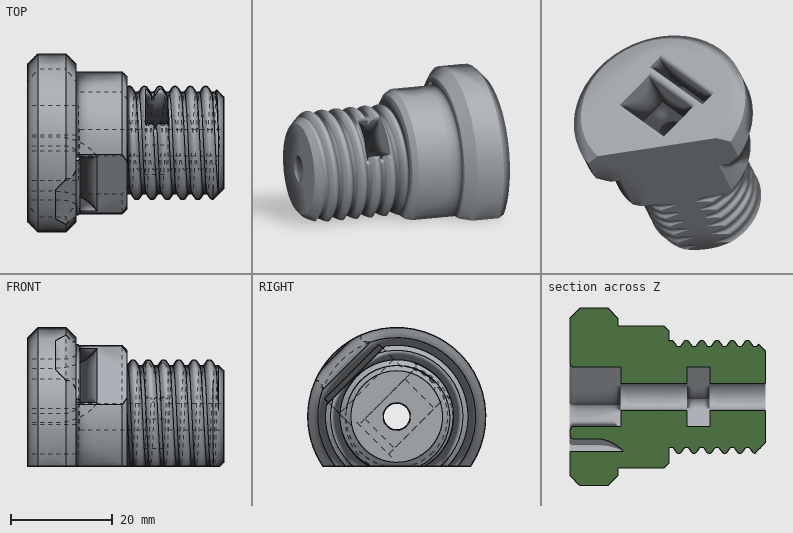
import cadquery as cq
import math

TOTAL_LENGTH = 38.5
HEAD_RADIUS = 17.5
HEAD_LENGTH = 9.5
HEAD_CHAMFER = 2.0
COLLAR_RADIUS = 14.0
COLLAR_LENGTH = 10.0
COLLAR_CHAMFER = 1.0
COLLAR_END = HEAD_LENGTH + COLLAR_LENGTH
SHANK_RADIUS = 10.0
SHANK_CHAMFER = 1.0
SHANK_START = COLLAR_END - COLLAR_CHAMFER
SHANK_SEAM_ANGLE = 37
BASE_FLAT_DEPTH = 9.78
COLLAR_FLAT_DISTANCE = 11.4

THREAD_PITCH = 3.0
THREAD_HEIGHT = 1.15
CREST_RADIUS = SHANK_RADIUS + THREAD_HEIGHT
THREAD_CREST_RADIUS = 0.65
THREAD_FLANK_ANGLE = math.radians(55)
THREAD_FLANK_OVERLAP = 0.2
THREAD_BASE_DEPTH = 1.2
THREAD_TURNS_PAST_END = 0.5
THREAD_START = 16.17

HOLE_DIAMETER = 5.2
HOLE_CHAMFER = 0.15
EDGE_RADIUS = 0.75
POCKET_WIDTH = 8.2
POCKET_LENGTH = 12.7
POCKET_DEPTH = 10.0
NUT_TRAP_START = 23.1
NUT_TRAP_THICKNESS = 4.4
NUT_TRAP_DEPTH = POCKET_WIDTH / math.sqrt(3)

CHANNEL_LENGTH = 15.1
CHANNEL_INNER_WALL = 5.85
CHANNEL_OUTER_WALL = 8.37
CHANNEL_BEND_RADIUS = 9.15
CHANNEL_BEND_START = 5.2
CORE_BEND_RADIUS = 3.3
LIP_HEIGHT = 12.5
LIP_END = HEAD_LENGTH + EDGE_RADIUS

RELIEF_START = (5.5, 17.04)
RELIEF_BEND = (7.2, 16.48)
RELIEF_MIDDLE = (8.5, 15.45)
RELIEF_END = (HEAD_LENGTH, 14.0)

CLEARANCE = 5.0

SLANTED = cq.Plane(origin=(0, 0, 0), xDir=(1, 0, 0), normal=(0, -1, -1))

TRAP_PLANE = cq.Plane(origin=(NUT_TRAP_START, 0, 0), xDir=(0, -1, 1), normal=(-1, 0, 0))


def slanted_sketch():
    """Empty sketch on the slanted plane."""
    return cq.Workplane(SLANTED)


def slanted_box(x_range, height_range, across_range):
    """Box given by ranges along the slanted plane's x, y and normal."""
    size = [high - low for low, high in (x_range, height_range, across_range)]
    return (
        slanted_sketch()
        .box(*size, centered=False)
        .translate(SLANTED.toWorldCoords((x_range[0], height_range[0], across_range[0])))
    )


def circular_arc(sketch, center, radius, start_angle, turn):
    """Continue a sketch along an arc, angles in degrees."""
    middle, end = (
        (center[0] + radius * math.cos(angle), center[1] + radius * math.sin(angle))
        for angle in (math.radians(start_angle + turn / 2), math.radians(start_angle + turn))
    )
    return sketch.threePointArc(middle, end)


def make_body():
    """Chamfered head disc and collar, with the slanted flat on the collar."""
    body = cq.Workplane("YZ").circle(HEAD_RADIUS).extrude(HEAD_LENGTH).edges().chamfer(HEAD_CHAMFER)
    collar = (
        cq.Workplane("YZ", origin=(HEAD_LENGTH, 0, 0))
        .circle(COLLAR_RADIUS)
        .extrude(COLLAR_LENGTH)
        .faces(">X")
        .chamfer(COLLAR_CHAMFER)
    )
    collar_flat = slanted_box(
        (HEAD_LENGTH, COLLAR_END),
        (COLLAR_FLAT_DISTANCE, HEAD_RADIUS),
        (-HEAD_RADIUS, HEAD_RADIUS),
    )
    return body.union(collar.cut(collar_flat))


def make_nut_trap():
    """Flat-bottomed slot across the bolt hole, open towards +Y+Z."""
    return slanted_box(
        (NUT_TRAP_START, NUT_TRAP_START + NUT_TRAP_THICKNESS),
        (-POCKET_WIDTH / 2, POCKET_WIDTH / 2),
        (-HEAD_RADIUS, NUT_TRAP_DEPTH),
    )


def make_crest_trap():
    """Nut trap as it cuts the thread, its side walls rounded off into the thread crest."""
    half = POCKET_WIDTH / 2
    rim = half + EDGE_RADIUS
    arc_distance = CREST_RADIUS - EDGE_RADIUS
    arc_height = math.sqrt(arc_distance**2 - rim**2)
    arc_turn = math.degrees(math.atan2(arc_height, rim))
    run_out = rim * CREST_RADIUS / arc_distance
    top = CREST_RADIUS + CLEARANCE
    sketch = cq.Workplane(TRAP_PLANE).moveTo(-half, -NUT_TRAP_DEPTH).lineTo(half, -NUT_TRAP_DEPTH)
    sketch = sketch.lineTo(half, arc_height)
    sketch = circular_arc(sketch, (rim, arc_height), EDGE_RADIUS, 180, arc_turn - 180)
    sketch = sketch.lineTo(run_out, top).lineTo(-run_out, top)
    sketch = sketch.lineTo(-run_out, arc_height * CREST_RADIUS / arc_distance)
    sketch = circular_arc(sketch, (-rim, arc_height), EDGE_RADIUS, 180 - arc_turn, arc_turn - 180)
    return sketch.close().extrude(-NUT_TRAP_THICKNESS)


def make_plain_shank():
    """Unthreaded shank with the rounded nut trap, running past both of its ends."""
    shank = (
        cq.Workplane("YZ", origin=(SHANK_START - CLEARANCE, 0, 0))
        .circle(SHANK_RADIUS)
        .extrude(TOTAL_LENGTH - SHANK_START + 2 * CLEARANCE)
        .rotate((0, 0, 0), (1, 0, 0), SHANK_SEAM_ANGLE)
        .cut(make_nut_trap())
    )
    mouth = cq.selectors.BoxSelector(
        (NUT_TRAP_START - EDGE_RADIUS, 0, 0),
        (NUT_TRAP_START + NUT_TRAP_THICKNESS + EDGE_RADIUS, SHANK_RADIUS, SHANK_RADIUS),
    )
    return shank.edges(mouth).fillet(EDGE_RADIUS)


def make_thread():
    """Right-hand round-crested thread, running past the end of the shank."""
    crest_half = THREAD_CREST_RADIUS * math.sin(THREAD_FLANK_ANGLE)
    shoulder = CREST_RADIUS - THREAD_CREST_RADIUS * (1 - math.cos(THREAD_FLANK_ANGLE))
    flank_foot = SHANK_RADIUS - THREAD_FLANK_OVERLAP
    foot_half = crest_half + (shoulder - flank_foot) / math.tan(THREAD_FLANK_ANGLE)
    base = SHANK_RADIUS - THREAD_BASE_DEPTH
    helix_length = TOTAL_LENGTH + THREAD_TURNS_PAST_END * THREAD_PITCH - THREAD_START
    helix = cq.Wire.makeHelix(THREAD_PITCH, helix_length, SHANK_RADIUS)
    return (
        cq.Workplane("XZ")
        .moveTo(base, -foot_half)
        .lineTo(flank_foot, -foot_half)
        .lineTo(shoulder, -crest_half)
        .threePointArc((CREST_RADIUS, 0), (shoulder, crest_half))
        .lineTo(flank_foot, foot_half)
        .lineTo(base, foot_half)
        .close()
        .sweep(cq.Workplane(obj=helix), isFrenet=True)
        .rotate((0, 0, 0), (0, 1, 0), 90)
        .translate((THREAD_START, 0, 0))
    )


def make_shank_envelope():
    """Revolved limit of the threaded shank, with the end chamfer."""
    end_radius = SHANK_RADIUS - SHANK_CHAMFER
    outside = CREST_RADIUS + THREAD_FLANK_OVERLAP
    return (
        cq.Workplane("XY")
        .moveTo(SHANK_START, 0)
        .lineTo(SHANK_START, outside)
        .lineTo(TOTAL_LENGTH - (outside - end_radius), outside)
        .lineTo(TOTAL_LENGTH, end_radius)
        .lineTo(TOTAL_LENGTH, 0)
        .close()
        .revolve(360, (0, 0, 0), (1, 0, 0))
    )


def make_threaded_shank():
    """Finished shank; faces are left unmerged because merging the long helical ones is slow."""
    limit = make_shank_envelope().cut(make_base_cut()).cut(make_bolt_hole())
    return (
        make_plain_shank()
        .union(make_thread(), clean=False)
        .intersect(limit, clean=False)
        .cut(make_crest_trap(), clean=False)
    )


def make_head_pocket():
    """Pocket whose two long mouth edges are rounded."""
    half = POCKET_WIDTH / 2
    rim = half + EDGE_RADIUS
    sketch = slanted_sketch().moveTo(0, -rim)
    sketch = circular_arc(sketch, (EDGE_RADIUS, -rim), EDGE_RADIUS, 180, -90)
    sketch = sketch.lineTo(POCKET_DEPTH, -half).lineTo(POCKET_DEPTH, half).lineTo(EDGE_RADIUS, half)
    sketch = circular_arc(sketch, (EDGE_RADIUS, rim), EDGE_RADIUS, -90, -90)
    return sketch.close().extrude(POCKET_LENGTH / 2, both=True)


def make_bolt_hole():
    """Through hole with a small lead-in chamfer at the pocket floor."""
    hole = cq.Workplane("YZ").circle(HOLE_DIAMETER / 2).extrude(TOTAL_LENGTH)
    lead_in = (
        cq.Workplane("YZ", origin=(POCKET_DEPTH, 0, 0))
        .circle(HOLE_DIAMETER / 2 + HOLE_CHAMFER)
        .extrude(HOLE_CHAMFER, taper=45)
    )
    return hole.union(lead_in)


def make_channel():
    """Channel entering at the head face and bending out through the collar flat."""
    entry_low = CHANNEL_INNER_WALL - EDGE_RADIUS
    entry_high = CHANNEL_OUTER_WALL + EDGE_RADIUS
    bend_center = (CHANNEL_BEND_START, CHANNEL_INNER_WALL + CHANNEL_BEND_RADIUS)
    bend_turn = math.degrees(math.acos((bend_center[1] - COLLAR_FLAT_DISTANCE) / CHANNEL_BEND_RADIUS))
    core_center = (LIP_END - CORE_BEND_RADIUS, CHANNEL_OUTER_WALL + CORE_BEND_RADIUS)
    sketch = slanted_sketch().moveTo(0, entry_low)
    sketch = circular_arc(sketch, (EDGE_RADIUS, entry_low), EDGE_RADIUS, 180, -90)
    sketch = sketch.lineTo(CHANNEL_BEND_START, CHANNEL_INNER_WALL)
    sketch = circular_arc(sketch, bend_center, CHANNEL_BEND_RADIUS, -90, bend_turn)
    sketch = sketch.lineTo(LIP_END, LIP_HEIGHT).lineTo(LIP_END, core_center[1])
    sketch = circular_arc(sketch, core_center, CORE_BEND_RADIUS, 0, -90)
    sketch = sketch.lineTo(EDGE_RADIUS, CHANNEL_OUTER_WALL)
    sketch = circular_arc(sketch, (EDGE_RADIUS, entry_high), EDGE_RADIUS, -90, -90)
    return sketch.close().extrude(CHANNEL_LENGTH / 2, both=True)


def make_lip():
    """Rounded lip behind the head where the strap leaves the channel."""
    sketch = (
        slanted_sketch()
        .moveTo(HEAD_LENGTH, COLLAR_FLAT_DISTANCE)
        .lineTo(HEAD_LENGTH, LIP_HEIGHT)
    )
    sketch = circular_arc(sketch, (HEAD_LENGTH, LIP_HEIGHT - EDGE_RADIUS), EDGE_RADIUS, 90, -90)
    return sketch.lineTo(LIP_END, COLLAR_FLAT_DISTANCE).close().extrude(CHANNEL_LENGTH / 2, both=True)


def make_rim_relief():
    """Rounded relief on the rear edge of the head rim where the strap wraps over it."""
    outside = HEAD_RADIUS + CLEARANCE
    return (
        slanted_sketch()
        .moveTo(RELIEF_START[0], outside)
        .lineTo(*RELIEF_START)
        .lineTo(*RELIEF_BEND)
        .threePointArc(RELIEF_MIDDLE, RELIEF_END)
        .lineTo(HEAD_LENGTH + CLEARANCE, RELIEF_END[1])
        .lineTo(HEAD_LENGTH + CLEARANCE, outside)
        .close()
        .extrude(CHANNEL_LENGTH / 2, both=True)
    )


def make_base_cut():
    """Everything below the bottom flat."""
    return cq.Workplane("XY", origin=(0, 0, -BASE_FLAT_DEPTH)).rect(
        2 * TOTAL_LENGTH + CLEARANCE,
        2 * HEAD_RADIUS + CLEARANCE,
    ).extrude(-HEAD_RADIUS)


def make_front():
    """Head and collar with the pocket, the strap channel and the bottom flat."""
    return (
        make_body()
        .cut(make_rim_relief())
        .union(make_lip())
        .cut(make_channel())
        .cut(make_head_pocket())
        .cut(make_bolt_hole())
        .cut(make_base_cut())
    )


result = make_front().union(make_threaded_shank(), clean=False)